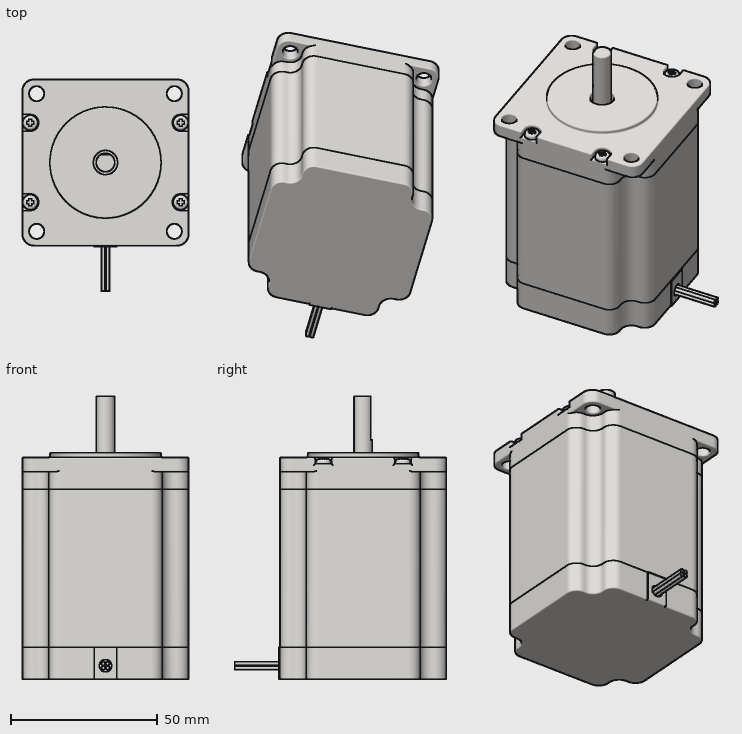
import cadquery as cq

frame_width = 57.0
half_width = frame_width / 2
rear_cap_top = 11.0
stator_top = 65.0
flange_bottom = 71.0
flange_top = 76.0
edge_radius = 0.5

corner_radius = 4.0
mount_hole_pitch = 47.14
mount_hole_diameter = 5.1
notch_wall = 19.5
notch_centre = mount_hole_pitch / 2
notch_radius = notch_centre - notch_wall

boss_radius = 38.1 / 2
boss_top = flange_top + 1.6
shaft_bore_diameter = 8.3

shaft_diameter = 6.35
shaft_top = 97.0
flat_length = 15.0
flat_offset = 2.65

screw_x = 25.75
screw_y = 13.6
screw_places = [(side * screw_x, end * screw_y) for side in (-1, 1) for end in (-1, 1)]
pocket_radius = 2.85
pocket_floor = flange_top - 2.25
head_radius = 2.6
head_top = pocket_floor + 1.7
head_rounding = 1.1
cross_length = 2.4
cross_width = 0.9
cross_depth = 0.8

pad_width = 7.8
pad_thickness = 0.4
pad_face_y = -half_width - pad_thickness
outlet_z = 4.65
outlet_diameter = 4.2
outlet_floor_y = pad_face_y + 2.0
wire_diameter = 1.3
wire_pitch = 1.5
wire_end_y = -44.0


def level(z):
    """Horizontal workplane at height z."""
    return cq.Workplane("XY").workplane(offset=z)


def outlet_plane(y):
    """Workplane on the outlet axis at depth y, extruding toward -Y."""
    return cq.Workplane("XZ", origin=(0, y, outlet_z))


def frame_block(bottom, top):
    """Length of the frame outline: a square with a rounded notch at every corner."""
    shoulder = notch_wall - corner_radius
    tip = half_width - corner_radius
    quarter = (
        level(bottom)
        .lineTo(half_width, 0)
        .lineTo(half_width, shoulder)
        .radiusArc((tip, notch_wall), -corner_radius)
        .lineTo(notch_centre, notch_wall)
        .radiusArc((notch_wall, notch_centre), notch_radius)
        .lineTo(notch_wall, tip)
        .radiusArc((shoulder, half_width), -corner_radius)
        .lineTo(0, half_width)
        .close()
        .extrude(top - bottom)
    )
    block = quarter
    for angle in (90, 180, 270):
        block = block.union(quarter.rotate((0, 0, 0), (0, 0, 1), angle))
    return block.clean()


def screw_pockets():
    """Round-ended pockets running out through the X sides of the flange."""
    depth = flange_top - pocket_floor
    round_ends = level(pocket_floor).pushPoints(screw_places).circle(pocket_radius).extrude(depth)
    mouth_places = [(half_width if x > 0 else -half_width, y) for x, y in screw_places]
    mouth_length = 2 * (half_width - screw_x)
    mouths = (
        level(pocket_floor)
        .pushPoints(mouth_places)
        .rect(mouth_length, 2 * pocket_radius)
        .extrude(depth)
    )
    return round_ends.union(mouths)


def pocket_mouth_edges(flange):
    """Edges where the pockets break through the X sides, below the flange top."""
    margin = edge_radius / 2
    reach_y = screw_y + pocket_radius + margin
    edges = []
    for side_x in (-half_width, half_width):
        mouth_zone = cq.selectors.BoxSelector(
            (side_x - margin, -reach_y, pocket_floor - margin),
            (side_x + margin, reach_y, flange_top - margin),
        )
        edges += flange.edges(mouth_zone).vals()
    return edges


def mounting_flange():
    """Square flange with mounting holes and screw pockets, all its rims rounded."""
    thickness = flange_top - flange_bottom
    plate = (
        level(flange_bottom)
        .rect(frame_width, frame_width)
        .extrude(thickness)
        .edges("|Z")
        .fillet(corner_radius)
    )
    mount_holes = (
        level(flange_bottom)
        .rect(mount_hole_pitch, mount_hole_pitch, forConstruction=True)
        .vertices()
        .circle(mount_hole_diameter / 2)
        .extrude(thickness)
    )
    plate = plate.cut(mount_holes).cut(screw_pockets())
    rims = plate.faces("<Z or >Z").edges().vals() + pocket_mouth_edges(plate)
    return plate.newObject(rims).fillet(edge_radius)


def pilot_boss():
    """Boss turned about Z, with a rounded rim and a filleted foot."""
    return (
        cq.Workplane("XZ")
        .moveTo(0, flange_top)
        .lineTo(boss_radius + edge_radius, flange_top)
        .radiusArc((boss_radius, flange_top + edge_radius), edge_radius)
        .lineTo(boss_radius, boss_top - edge_radius)
        .radiusArc((boss_radius - edge_radius, boss_top), -edge_radius)
        .lineTo(0, boss_top)
        .close()
        .revolve(360, (0, 0, 0), (0, 1, 0))
    )


def make_front_cap():
    skirt = frame_block(stator_top, flange_bottom + edge_radius)
    cap = mounting_flange().union(skirt).union(pilot_boss())
    bore = level(stator_top).circle(shaft_bore_diameter / 2).extrude(boss_top - stator_top)
    cap = cap.cut(bore)
    bore_rim = cap.faces(">Z").edges(cq.selectors.RadiusNthSelector(0))
    return bore_rim.fillet(edge_radius)


def make_stator():
    """Stator block with the shaft standing on its top face."""
    shaft = (
        level(stator_top)
        .circle(shaft_diameter / 2)
        .extrude(shaft_top - stator_top)
        .faces(">Z")
        .edges()
        .fillet(edge_radius)
    )
    flat_cut = (
        level(shaft_top - flat_length)
        .center(0, flat_offset + shaft_diameter / 2)
        .rect(2 * shaft_diameter, shaft_diameter)
        .extrude(flat_length)
    )
    return frame_block(rear_cap_top, stator_top).union(shaft.cut(flat_cut))


def make_rear_cap():
    """Rear cap with its outlet pad and the wires leaving the outlet hole."""
    cap = frame_block(0, rear_cap_top).faces("<Z").edges().fillet(edge_radius)
    pad_depth = pad_thickness + 2 * edge_radius
    pad = (
        cq.Workplane("XY", origin=(0, pad_face_y, 0))
        .box(pad_width, pad_depth, rear_cap_top, centered=(True, False, False))
        .faces("<Z")
        .edges("<Y")
        .fillet(edge_radius)
    )
    outlet = (
        outlet_plane(outlet_floor_y)
        .circle(outlet_diameter / 2)
        .extrude(outlet_floor_y - pad_face_y)
    )
    wires = (
        outlet_plane(outlet_floor_y)
        .rect(wire_pitch, wire_pitch, forConstruction=True)
        .vertices()
        .circle(wire_diameter / 2)
        .extrude(outlet_floor_y - wire_end_y)
    )
    return cap.union(pad).cut(outlet).union(wires)


def make_cap_screw(x, y):
    """Domed screw head with a cross recess."""
    head = (
        level(pocket_floor)
        .circle(head_radius)
        .extrude(head_top - pocket_floor)
        .faces(">Z")
        .edges()
        .fillet(head_rounding)
    )
    for size_x, size_y in ((cross_length, cross_width), (cross_width, cross_length)):
        slot = level(head_top - cross_depth).rect(size_x, size_y).extrude(cross_depth)
        head = head.cut(slot)
    return head.translate((x, y, 0))


front_cap = make_front_cap().solids()
stator = make_stator().solids()
rear_cap = make_rear_cap().solids()
cap_screws = [make_cap_screw(x, y).solids().val() for x, y in screw_places]

result = cq.Compound.makeCompound([front_cap.val(), stator.val(), rear_cap.val(), *cap_screws])